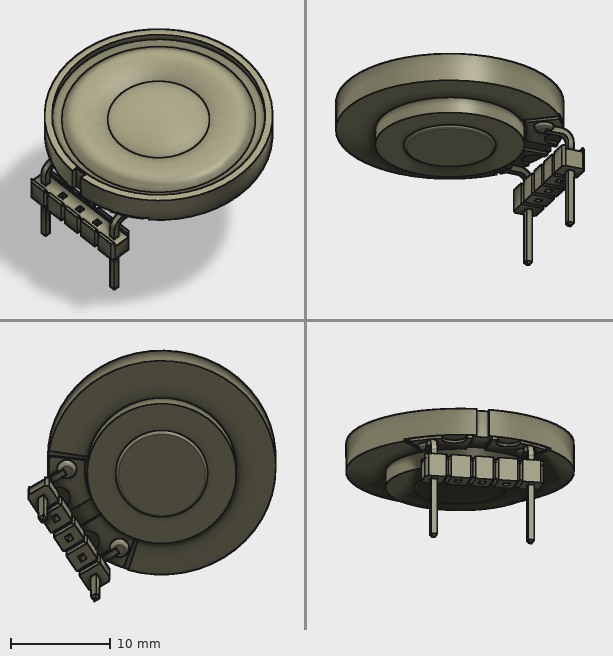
import cadquery as cq
import math


total_length = 23.75
total_height = 13.7

frame_radius = 11.5
frame_height = 3.0
rim_inner_radius = 10.74
yoke_radius = 7.5
yoke_bottom = -1.69
cap_radius = 4.63
cap_height = 0.3
cap_fillet = 0.28
slot_width = 1.25
slot_floor_radius = 10.92

flange_depth = 0.71
flange_thickness = 0.24
surround_outer_radius = 9.75
surround_outer_handle = (8.67, 1.0)
surround_inner_handle = (7.48, 0.75)
dome_radius = 5.13
dome_rise = 0.66
flange_top = frame_height - flange_depth
diaphragm_bottom = flange_top - flange_thickness

relief_depth = 0.21
relief_half_angle = 41.0
board_thickness = 0.3
board_half_angle = 38.3
board_inner_radius = 7.77
board_outer_radius = 11.35
board_gap = 2.0
board_bottom = relief_depth - board_thickness
scallop_radius = 1.2
scallop_x = 2.78
scallop_y = -10.57

solder_radius = 0.97
solder_height = 0.52
solder_fillet = 0.48
solder_y = -8.15

pitch = 2.5
pin_count = 5
header_length = 12.15
header_width = 2.5
header_front = frame_radius - total_length
header_y = header_front + header_width / 2
header_top = -2.28
header_bottom = -4.63
channel_depth = 0.43
wall_thickness = 0.3
notch_depth = 0.25
inner_notch_x = 1.16
outer_notch_x = 3.68

pin_size = 0.65
pin_bend_radius = 0.74
pin_rear_y = -8.35
pin_bottom = frame_height - total_height
pin_tip_length = 0.28
pin_tip_size = 0.24
pin_x = pitch * (pin_count - 1) / 2


def polar(radius, angle):
    """Point at an angle in degrees, measured from the -Y direction towards +X."""
    turn = math.radians(angle)
    return (radius * math.sin(turn), -radius * math.cos(turn))


def ring_sector(inner, outer, start, end, bottom, height):
    """Part of a flat ring between two angles."""
    middle = (start + end) / 2
    return (
        cq.Workplane("XY", origin=(0, 0, bottom))
        .moveTo(*polar(inner, start))
        .lineTo(*polar(outer, start))
        .threePointArc(polar(outer, middle), polar(outer, end))
        .lineTo(*polar(inner, end))
        .threePointArc(polar(inner, middle), polar(inner, start))
        .close()
        .extrude(height)
    )


def block(x_size, y_range, z_range, x=0.0):
    """Box centred on x, with given Y and Z limits."""
    y_low, y_high = y_range
    z_low, z_high = z_range
    return cq.Workplane("XY").box(x_size, y_high - y_low, z_high - z_low).translate(
        (x, (y_low + y_high) / 2, (z_low + z_high) / 2)
    )


def make_frame():
    """Round housing with the magnet yoke below it and a recess for the diaphragm."""
    body = cq.Workplane("XY").circle(frame_radius).extrude(frame_height)
    recess = (
        cq.Workplane("XY", origin=(0, 0, diaphragm_bottom))
        .circle(rim_inner_radius)
        .extrude(frame_height - diaphragm_bottom)
    )
    slot = block(slot_width, (-frame_radius, 0), (0, frame_height)).cut(
        cq.Workplane("XY").circle(slot_floor_radius).extrude(frame_height)
    )
    relief = ring_sector(
        cap_radius, frame_radius, -relief_half_angle, relief_half_angle, 0, relief_depth
    )
    yoke = (
        cq.Workplane("XY", origin=(0, 0, yoke_bottom))
        .circle(yoke_radius)
        .extrude(relief_depth - yoke_bottom)
    )
    cap = (
        cq.Workplane("XY", origin=(0, 0, yoke_bottom))
        .circle(cap_radius)
        .extrude(-cap_height)
        .faces("<Z")
        .edges()
        .fillet(cap_fillet)
    )
    return body.cut(recess).cut(slot).cut(relief).union(yoke).union(cap)


def make_diaphragm():
    """Disc with a flat flange, a raised round surround and a central dome."""
    outer_handle_radius, outer_handle_rise = surround_outer_handle
    inner_handle_radius, inner_handle_rise = surround_inner_handle
    surround_curve = [
        (surround_outer_radius, flange_top),
        (outer_handle_radius, flange_top + outer_handle_rise),
        (inner_handle_radius, flange_top + inner_handle_rise),
        (dome_radius, flange_top),
    ]
    dome_sphere_radius = (dome_radius**2 + dome_rise**2) / (2 * dome_rise)
    half_radius = dome_radius / 2
    half_radius_drop = dome_sphere_radius - math.sqrt(dome_sphere_radius**2 - half_radius**2)
    dome_top = flange_top + dome_rise
    return (
        cq.Workplane("XZ")
        .moveTo(0, diaphragm_bottom)
        .lineTo(rim_inner_radius, diaphragm_bottom)
        .lineTo(rim_inner_radius, flange_top)
        .lineTo(surround_outer_radius, flange_top)
        .bezier(surround_curve)
        .threePointArc((half_radius, dome_top - half_radius_drop), (0, dome_top))
        .close()
        .revolve(360, (0, 0, 0), (0, 1, 0))
    )


def make_pin(x):
    """Square pin that hangs through the header and bends back under a terminal board."""
    front = header_y - pin_size / 2
    back = header_y + pin_size / 2
    top = board_bottom
    underside = top - pin_size
    shoulder = pin_bottom + pin_tip_length
    inner_radius = pin_bend_radius
    outer_radius = pin_bend_radius + pin_size
    bend_y = back + inner_radius
    bend_z = underside - inner_radius
    diagonal = math.sqrt(0.5)
    shank = (
        cq.Workplane("YZ", origin=(-pin_size / 2, 0, 0))
        .moveTo(front, shoulder)
        .lineTo(front, bend_z)
        .threePointArc(
            (bend_y - outer_radius * diagonal, bend_z + outer_radius * diagonal), (bend_y, top)
        )
        .lineTo(pin_rear_y, top)
        .lineTo(pin_rear_y, underside)
        .lineTo(bend_y, underside)
        .threePointArc(
            (bend_y - inner_radius * diagonal, bend_z + inner_radius * diagonal), (back, bend_z)
        )
        .lineTo(back, shoulder)
        .close()
        .extrude(pin_size)
    )
    tip = (
        cq.Workplane("XY", origin=(0, header_y, shoulder))
        .rect(pin_size, pin_size)
        .workplane(offset=-pin_tip_length)
        .rect(pin_tip_size, pin_tip_size)
        .loft()
    )
    return shank.union(tip).translate((x, 0, 0))


def make_terminal(side):
    """Terminal board with its solder joint; side is -1 for the -X one and 1 for the +X one."""
    board = ring_sector(
        board_inner_radius, board_outer_radius, 0, board_half_angle, board_bottom, board_thickness
    )
    board_levels = (board_bottom, relief_depth)
    gap = block(board_gap, (-frame_radius, 0), board_levels)
    scallop_end = (
        cq.Workplane("XY", origin=(scallop_x, scallop_y, board_bottom))
        .circle(scallop_radius)
        .extrude(board_thickness)
    )
    scallop_mouth = block(2 * scallop_radius, (-frame_radius, scallop_y), board_levels, scallop_x)
    solder = (
        cq.Workplane("XY", origin=(pin_x, solder_y, board_bottom))
        .circle(solder_radius)
        .extrude(-solder_height)
        .faces("<Z")
        .edges()
        .fillet(solder_fillet)
        .cut(make_pin(pin_x))
    )
    terminal = board.cut(gap).cut(scallop_end).cut(scallop_mouth).union(solder)
    return terminal if side > 0 else terminal.mirror("YZ")


def make_groove(x):
    """V-shaped groove that runs round all four long sides of the header."""
    height = header_top - header_bottom
    middle = (header_top + header_bottom) / 2
    groove = cq.Workplane("XY").box(2 * notch_depth, header_width, height)
    for direction in (-1, 1):
        core_half = (
            cq.Workplane("YZ")
            .rect(header_width - 2 * notch_depth, height - 2 * notch_depth)
            .workplane(offset=direction * notch_depth)
            .rect(header_width, height)
            .loft()
        )
        groove = groove.cut(core_half)
    return groove.translate((x, header_y, middle))


def make_header():
    """Plastic strip with a channel along its top, grooves between its ways and square holes."""
    header_back = header_front + header_width
    header = block(header_length, (header_front, header_back), (header_bottom, header_top))
    header = header.edges("|Z").chamfer(wall_thickness)
    channel = block(
        header_length,
        (header_front + wall_thickness, header_back - wall_thickness),
        (header_top - channel_depth, header_top),
    )
    header = header.cut(channel)
    for x in (-outer_notch_x, -inner_notch_x, inner_notch_x, outer_notch_x):
        header = header.cut(make_groove(x))
    holes = (
        cq.Workplane("XY", origin=(0, header_y, header_bottom))
        .rarray(pitch, 0.24, pin_count, 1)
        .rect(pin_size, pin_size)
        .extrude(header_top - header_bottom)
    )
    return header.cut(holes)


frame = make_frame()
diaphragm = make_diaphragm()
header = make_header()
pins = [make_pin(side * pin_x).val() for side in (-1, 1)]
terminals = [make_terminal(side).val() for side in (-1, 1)]

result = cq.Compound.makeCompound([frame.val(), diaphragm.val(), header.val(), *pins, *terminals])